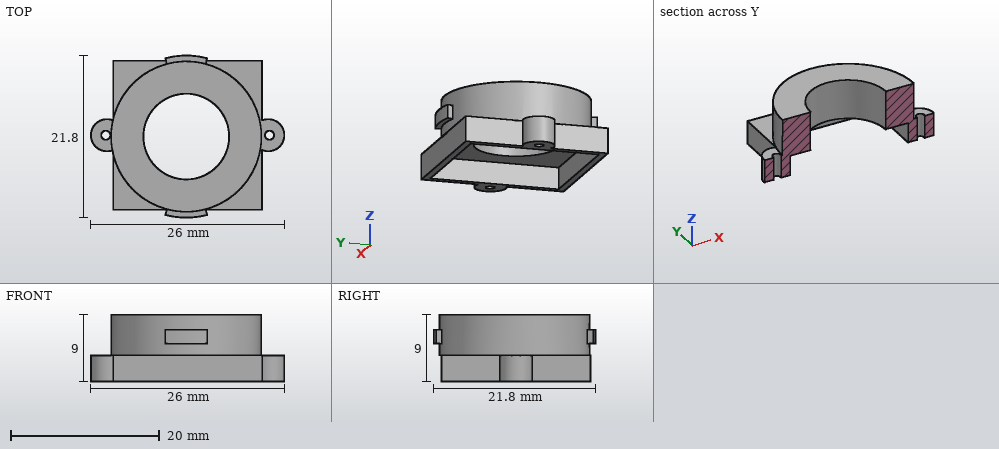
import cadquery as cq
import math

BASE_SIDE = 20.0
BASE_HEIGHT = 3.5

BASE_WALL = 1.0
BASE_ROOF = 0.5

OVERALL_LENGTH = 26.0
EAR_DIAMETER = 4.35
EAR_HOLE_DIAMETER = 1.2
EAR_HOLE_OFFSET = 11.0
EAR_OFFSET = (OVERALL_LENGTH - EAR_DIAMETER) / 2

OVERALL_HEIGHT = 9.0
RING_CENTER = (-0.18, -0.18)
RING_DIAMETER = 20.2
BORE_DIAMETER = 11.5

TAB_DIAMETER = 21.8
TAB_HALF_ANGLE = 15.0
TAB_BOTTOM = 5.1
TAB_HEIGHT = 1.87


def cylinder(center, diameter, bottom, height):
    """Upright cylinder standing on the height `bottom`."""
    return (
        cq.Workplane("XY", origin=(*center, bottom))
        .circle(diameter / 2)
        .extrude(height)
    )


def locking_tabs():
    """Two opposite sectors of a disc, with radial ends."""
    disc = cylinder(RING_CENTER, TAB_DIAMETER, TAB_BOTTOM, TAB_HEIGHT)
    reach = TAB_DIAMETER
    spread = reach * math.tan(math.radians(TAB_HALF_ANGLE))
    plane = cq.Workplane("XY", origin=(*RING_CENTER, TAB_BOTTOM))
    tabs = cq.Workplane("XY")
    for side in (-1, 1):
        wedge = (
            plane.polyline([(0, 0), (-spread, side * reach), (spread, side * reach)])
            .close()
            .extrude(TAB_HEIGHT)
        )
        tabs = tabs.add(disc.intersect(wedge))
    return tabs


body = cq.Workplane("XY").rect(BASE_SIDE, BASE_SIDE).extrude(BASE_HEIGHT)
for side in (-1, 1):
    body = body.union(cylinder((side * EAR_OFFSET, 0), EAR_DIAMETER, 0, BASE_HEIGHT))

ring_height = OVERALL_HEIGHT - BASE_HEIGHT
body = body.union(cylinder(RING_CENTER, RING_DIAMETER, BASE_HEIGHT, ring_height))
for tab in locking_tabs().vals():
    body = body.union(cq.Workplane(tab))

cavity_side = BASE_SIDE - 2 * BASE_WALL
cavity_height = BASE_HEIGHT - BASE_ROOF
body = body.cut(cq.Workplane("XY").rect(cavity_side, cavity_side).extrude(cavity_height))

body = body.cut(cylinder(RING_CENTER, BORE_DIAMETER, 0, OVERALL_HEIGHT))
for side in (-1, 1):
    body = body.cut(cylinder((side * EAR_HOLE_OFFSET, 0), EAR_HOLE_DIAMETER, 0, BASE_HEIGHT))

result = body